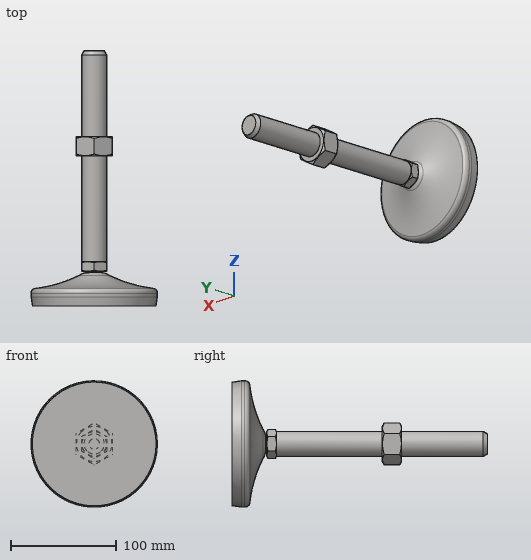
import cadquery as cq
import math

total_length = 242.5

pad_diameter = 120.0
pad_bottom_diameter = 117.4
pad_band_start = 9.0
pad_band_end = 12.0
shoulder_height = 17.0
shoulder_radius = 56.3
flare_middle_radius = 34.0
flare_middle_height = 21.5
crown_radius = 14.3
crown_edge_height = 29.3
crown_middle_radius = 10.7
crown_middle_height = 31.3
pad_height = 32.0

neck_diameter = 10.0
spindle_diameter = 24.0
tip_chamfer_length = 4.1
tip_chamfer_depth = 2.5
hex_start = 33.0
hex_end = 42.5

nut_across_flats = 34.5
nut_start = 142.5
nut_end = 161.0

bevel_face_ratio = 0.97
bevel_slope = math.tan(math.radians(30))


def revolve_about_y(profile):
    return profile.close().revolve(360, (0, 0, 0), (0, 1, 0))


def make_pad():
    pad_radius = pad_diameter / 2
    rim_width = pad_radius - shoulder_radius
    rim_height = shoulder_height - pad_band_end
    rim_middle = (
        shoulder_radius + rim_width * math.sqrt(0.5),
        pad_band_end + rim_height * math.sqrt(0.5),
    )
    profile = (
        cq.Workplane("XY")
        .lineTo(pad_bottom_diameter / 2, 0)
        .lineTo(pad_radius, pad_band_start)
        .lineTo(pad_radius, pad_band_end)
        .threePointArc(rim_middle, (shoulder_radius, shoulder_height))
        .threePointArc((flare_middle_radius, flare_middle_height), (crown_radius, crown_edge_height))
        .threePointArc((crown_middle_radius, crown_middle_height), (neck_diameter / 2, pad_height))
        .lineTo(0, pad_height)
    )
    return revolve_about_y(profile)


def make_cylinder(diameter, start, end):
    return (
        cq.Workplane("XZ", origin=(0, start, 0))
        .circle(diameter / 2)
        .extrude(start - end)
    )


def make_bevelled_hex(across_flats, start, end):
    """Hexagonal prism with flats facing +X and -X and corners bevelled at both ends."""
    across_corners = across_flats / math.cos(math.radians(30))
    prism = (
        cq.Workplane("XZ", origin=(0, start, 0))
        .transformed(rotate=(0, 0, 90))
        .polygon(6, across_corners)
        .extrude(start - end)
    )
    face_radius = across_flats * bevel_face_ratio / 2
    corner_radius = across_corners / 2
    bevel_height = (corner_radius - face_radius) * bevel_slope
    envelope = (
        cq.Workplane("XY")
        .moveTo(0, start)
        .lineTo(face_radius, start)
        .lineTo(corner_radius, start + bevel_height)
        .lineTo(corner_radius, end - bevel_height)
        .lineTo(face_radius, end)
        .lineTo(0, end)
    )
    return prism.intersect(revolve_about_y(envelope))


def make_spindle():
    spindle_radius = spindle_diameter / 2
    profile = (
        cq.Workplane("XY")
        .moveTo(0, hex_end)
        .lineTo(spindle_radius, hex_end)
        .lineTo(spindle_radius, total_length - tip_chamfer_length)
        .lineTo(spindle_radius - tip_chamfer_depth, total_length)
        .lineTo(0, total_length)
    )
    return revolve_about_y(profile)


result = (
    make_pad()
    .union(make_cylinder(neck_diameter, shoulder_height, hex_start))
    .union(make_bevelled_hex(spindle_diameter, hex_start, hex_end))
    .union(make_spindle())
    .union(make_bevelled_hex(nut_across_flats, nut_start, nut_end))
)